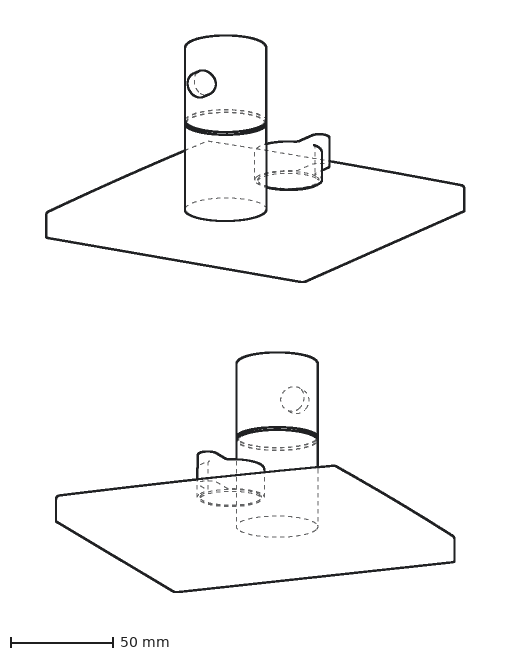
import cadquery as cq

plate_side = 150.0
plate_crown_height = 14.4
plate_corner_drop = 1.2
plate_corner_radius = 2.2
plate_top_fillet = 1.8
plate_bottom_fillet = 0.6

column_y = -27.3
column_diameter = 40.0
column_top = 97.6
column_top_flat_diameter = 37.6
groove_center_z = 58.8
groove_width = 1.3
groove_depth = 0.6

button_diameter = 12.5
button_z = 83.8
button_end_y = -53.0
button_fillet = 0.6

knob_y = 30.6
knob_diameter = 33.0
knob_top_flat_diameter = 30.1
knob_neck_diameter = 30.1
knob_bottom = 15.1
knob_top = 30.5
lever_width = 10.0
lever_tip_y = 64.3
lever_root_fillet = 1.5

embed_z = plate_crown_height / 2


def cylinder(diameter, y, bottom, top):
    """Vertical cylinder on the plane X = 0."""
    return cq.Workplane("XY", origin=(0, y, bottom)).circle(diameter / 2).extrude(top - bottom)


def make_plate():
    block = cq.Workplane("XY").rect(plate_side, plate_side).extrude(plate_crown_height)
    block = block.edges("|Z").fillet(plate_corner_radius)
    corner_distance_squared = plate_side**2 / 2
    dome_radius = (corner_distance_squared + plate_corner_drop**2) / (2 * plate_corner_drop)
    dome = cq.Workplane("XZ", origin=(0, 0, plate_crown_height - dome_radius)).sphere(dome_radius)
    plate = block.intersect(dome)
    plate = plate.faces("<Z").edges().fillet(plate_bottom_fillet)
    return plate.faces(">Z").edges().fillet(plate_top_fillet)


def make_column():
    column = cylinder(column_diameter, column_y, embed_z, column_top)
    column = column.faces(">Z").edges().fillet((column_diameter - column_top_flat_diameter) / 2)
    groove_bottom = groove_center_z - groove_width / 2
    groove_top = groove_center_z + groove_width / 2
    ring = cylinder(column_diameter, column_y, groove_bottom, groove_top)
    core = cylinder(column_diameter - 2 * groove_depth, column_y, groove_bottom, groove_top)
    return column.cut(ring.cut(core))


def make_button():
    length = column_y - button_end_y
    button = cq.Workplane("XZ", origin=(0, column_y, button_z)).circle(button_diameter / 2).extrude(length)
    return button.faces("<Y").edges().fillet(button_fillet)


def make_knob():
    height = knob_top - knob_bottom
    lever_end_y = lever_tip_y - lever_width / 2
    lever_length = lever_end_y - knob_y
    lever = (
        cq.Workplane("XY", origin=(0, knob_y + lever_length / 2, knob_bottom))
        .rect(lever_width, lever_length)
        .extrude(height)
    )
    lever_end = cylinder(lever_width, lever_end_y, knob_bottom, knob_top)
    knob = cylinder(knob_diameter, knob_y, knob_bottom, knob_top).union(lever).union(lever_end)
    root_y = knob_y + ((knob_diameter / 2) ** 2 - (lever_width / 2) ** 2) ** 0.5
    for root_x in (-lever_width / 2, lever_width / 2):
        root = cq.selectors.NearestToPointSelector((root_x, root_y, knob_bottom + height / 2))
        knob = knob.edges("|Z").edges(root).fillet(lever_root_fillet)
    knob = knob.faces(">Z").edges().fillet((knob_diameter - knob_top_flat_diameter) / 2)
    return knob.union(cylinder(knob_neck_diameter, knob_y, embed_z, knob_bottom))


result = make_plate().union(make_column()).union(make_button()).union(make_knob())